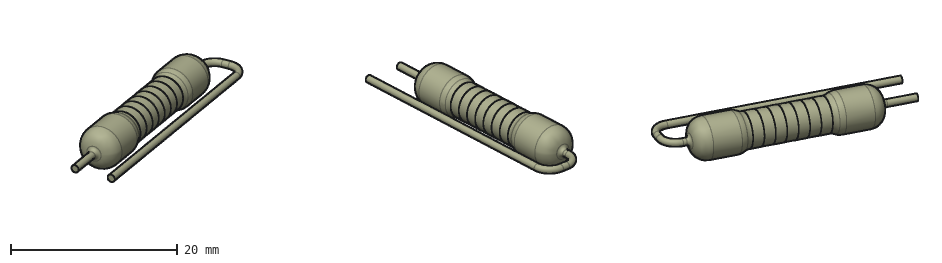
import cadquery as cq
import math

length = 33.1
wire_radius = 1.0 / 2
wire_spacing = 5.0
bend_radius = 2.02

body_middle = 17.08
neck_half_length = 13.05
cap_radius = 5.5 / 2
dome_start = 10.53
dome_radius = 2.0
cap_start = 6.8
core_radius = 4.67 / 2
band_radius = 4.7 / 2
core_half_length = 5.2
cap_overlap = 0.33
band_slots = 7

lead_end = -length / 2
body_center = lead_end + body_middle
bend_top = length / 2 - wire_radius
bend_start = bend_top - bend_radius
bend_diagonal = bend_radius * math.sqrt(0.5)


def end_cap():
    """Revolved end of the body with a flared cap, a dome and a filleted neck."""
    flare_middle = ((core_radius + cap_radius) / 2, (core_half_length + cap_start) / 2)

    dome_center_r = cap_radius - dome_radius
    rise = neck_half_length - dome_start
    offset = wire_radius - dome_center_r
    neck_fillet = (offset**2 + rise**2 - dome_radius**2) / (2 * (dome_radius - offset))
    tilt = math.atan2(rise, offset + neck_fillet)
    neck_foot = (
        dome_center_r + dome_radius * math.cos(tilt),
        dome_start + dome_radius * math.sin(tilt),
    )

    profile = (
        cq.Workplane("XY")
        .moveTo(0, core_half_length - cap_overlap)
        .lineTo(core_radius, core_half_length - cap_overlap)
        .lineTo(core_radius, core_half_length)
        .tangentArcPoint(flare_middle, relative=False)
        .tangentArcPoint((cap_radius, cap_start), relative=False)
        .lineTo(cap_radius, dome_start)
        .tangentArcPoint(neck_foot, relative=False)
        .tangentArcPoint((wire_radius, neck_half_length), relative=False)
        .lineTo(0, neck_half_length)
        .close()
    )
    return profile.revolve(360, (0, 0, 0), (0, 1, 0))


def core():
    """Middle of the body, with slightly raised rings in every other slot."""
    pitch = 2 * core_half_length / band_slots
    barrel = (
        cq.Workplane("XZ", origin=(0, -core_half_length, 0))
        .circle(core_radius)
        .extrude(-2 * core_half_length)
    )
    for slot in range(0, band_slots, 2):
        start = -core_half_length + slot * pitch
        ring = cq.Workplane("XZ", origin=(0, start, 0)).circle(band_radius).extrude(-pitch)
        barrel = barrel.union(ring)
    return barrel


def straight_lead():
    """Short wire from inside the body to the free end."""
    return (
        cq.Workplane("XZ", origin=(0, lead_end, 0))
        .circle(wire_radius)
        .extrude(-body_middle)
    )


def bent_lead():
    """Wire that leaves the far end, turns twice and runs back beside the body."""
    path = (
        cq.Workplane("XY")
        .moveTo(0, body_center)
        .lineTo(0, bend_start)
        .threePointArc(
            (bend_radius - bend_diagonal, bend_start + bend_diagonal),
            (bend_radius, bend_top),
        )
        .lineTo(wire_spacing - bend_radius, bend_top)
        .threePointArc(
            (wire_spacing - bend_radius + bend_diagonal, bend_start + bend_diagonal),
            (wire_spacing, bend_start),
        )
        .lineTo(wire_spacing, lead_end)
    )
    return cq.Workplane("XZ", origin=(0, body_center, 0)).circle(wire_radius).sweep(path)


far_cap = end_cap()
body = core().union(far_cap).union(far_cap.mirror("XZ"))
result = body.translate((0, body_center, 0)).union(straight_lead()).union(bent_lead())